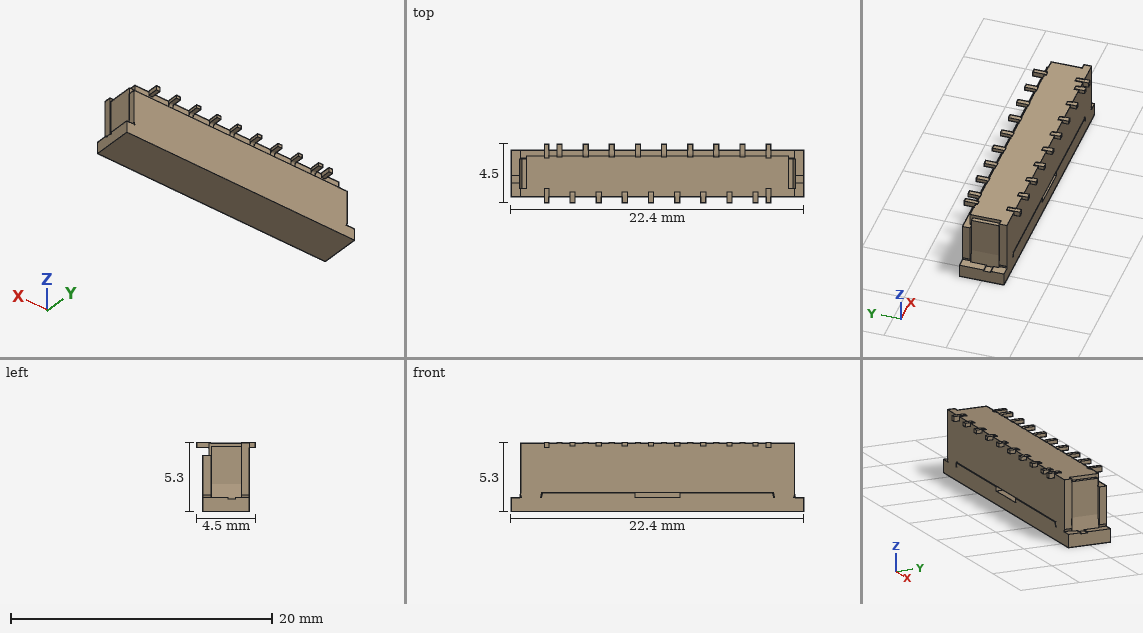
import cadquery as cq

BASE_LENGTH = 22.4
BASE_WIDTH = 3.58
BASE_TOP = 1.08

HOUSING_LENGTH = 20.97
HOUSING_TOP = 5.25
CORE_LENGTH = 20.07
CORE_REAR = 1.32
FRONT_WALL_INNER = -1.16
REAR_WALL_INNER = 1.16
REAR_WALL_TOP = 4.3
WALL_CHAMFER_HEIGHT = 0.2
WALL_CHAMFER_RUN = 0.07

PANEL_TOP = 4.97
PANEL_FLARE_TOP = 2.08
PANEL_REAR = 1.1
PANEL_REACH = 10.37
PANEL_FOOT_REACH = 10.55

GROOVE_FLOOR = 0.99
GROOVE_FRONT = -0.72
GROOVE_REAR = -0.15

GAP_HALF_LENGTH = 8.87
GAP_SLANT_RUN = 0.1
GAP_TOP = 1.48
GAP_HEIGHT = 0.07
GAP_SIDE_WIDTH = 0.07
GAP_DEPTH = 0.6
NOTCH_LENGTH = 3.45
NOTCH_DEPTH = 0.9

LEAD_TOP = 5.3
LEAD_REACH = 2.251

PITCH = 2.0
SIGNAL_COUNT = 8
SIGNAL_WIDTH = 0.4
SIGNAL_THICKNESS = 0.3
BEND_OUTER_RADIUS = 0.5
BEND_INNER_RADIUS = BEND_OUTER_RADIUS - SIGNAL_THICKNESS
FRONT_BEND_START = 1.65
REAR_BEND_START = 1.52

ANCHOR_X = 8.5
ANCHOR_WIDTH = 0.35
ANCHOR_THICKNESS = 0.4
ANCHOR_INNER = 1.16
ANCHOR_ROUND = 0.07

BASE_FRONT = -BASE_WIDTH / 2
BASE_REAR = BASE_WIDTH / 2


def block(x_length, y_start, y_end, z_start, z_end):
    """Box centred on X = 0 between the given Y and Z limits."""
    y_size = y_end - y_start
    z_size = z_end - z_start
    return (
        cq.Workplane("XY")
        .box(x_length, y_size, z_size)
        .translate((0, y_start + y_size / 2, z_start + z_size / 2))
    )


def extrude_along_y(points, y_start, y_end):
    """Closed XZ outline extruded from y_start to y_end."""
    return (
        cq.Workplane("XZ", origin=(0, y_end, 0))
        .polyline(points)
        .close()
        .extrude(y_end - y_start)
    )


def base_plate():
    plate = block(BASE_LENGTH, BASE_FRONT, BASE_REAR, 0, BASE_TOP)
    groove = block(BASE_LENGTH, GROOVE_FRONT, GROOVE_REAR, GROOVE_FLOOR, BASE_TOP)
    return plate.cut(groove)


def wall(y_start, y_end, top):
    """Long side wall whose ends are chamfered above the base."""
    end = HOUSING_LENGTH / 2
    foot = end - WALL_CHAMFER_RUN
    chamfer_top = BASE_TOP + WALL_CHAMFER_HEIGHT
    outline = [
        (-foot, BASE_TOP),
        (foot, BASE_TOP),
        (end, chamfer_top),
        (end, top),
        (-end, top),
        (-end, chamfer_top),
    ]
    return extrude_along_y(outline, y_start, y_end)


def end_panels():
    """Both flared end panels, joined through the core."""
    outline = [
        (-PANEL_FOOT_REACH, GROOVE_FLOOR),
        (PANEL_FOOT_REACH, GROOVE_FLOOR),
        (PANEL_FOOT_REACH, BASE_TOP),
        (PANEL_REACH, PANEL_FLARE_TOP),
        (PANEL_REACH, PANEL_TOP),
        (-PANEL_REACH, PANEL_TOP),
        (-PANEL_REACH, PANEL_FLARE_TOP),
        (-PANEL_FOOT_REACH, BASE_TOP),
    ]
    return extrude_along_y(outline, FRONT_WALL_INNER, PANEL_REAR)


def housing():
    core = block(CORE_LENGTH, FRONT_WALL_INNER, CORE_REAR, GROOVE_FLOOR, HOUSING_TOP)
    front_wall = wall(BASE_FRONT, FRONT_WALL_INNER, HOUSING_TOP)
    rear_wall = wall(REAR_WALL_INNER, BASE_REAR, REAR_WALL_TOP)
    return core.union(front_wall).union(rear_wall).union(end_panels())


def parting_gap():
    """Thin gap under the front wall, with slanted legs down to the base top."""
    outer_foot = GAP_HALF_LENGTH + GAP_SLANT_RUN
    inner_top = GAP_HALF_LENGTH - GAP_SIDE_WIDTH
    inner_foot = outer_foot - GAP_SIDE_WIDTH
    gap_bottom = GAP_TOP - GAP_HEIGHT
    outline = [
        (-outer_foot, BASE_TOP),
        (-GAP_HALF_LENGTH, GAP_TOP),
        (GAP_HALF_LENGTH, GAP_TOP),
        (outer_foot, BASE_TOP),
        (inner_foot, BASE_TOP),
        (inner_top, gap_bottom),
        (-inner_top, gap_bottom),
        (-inner_foot, BASE_TOP),
    ]
    return extrude_along_y(outline, BASE_FRONT, BASE_FRONT + GAP_DEPTH)


def notch():
    return block(NOTCH_LENGTH, BASE_FRONT, BASE_FRONT + NOTCH_DEPTH, BASE_TOP, GAP_TOP)


def signal_lead(x, side, bend_start):
    """Quarter-bend strip; side is -1 at the front and +1 at the rear."""
    bend_z = LEAD_TOP - BEND_OUTER_RADIUS
    diagonal = 0.5 ** 0.5
    outer_mid = BEND_OUTER_RADIUS * diagonal
    inner_mid = BEND_INNER_RADIUS * diagonal
    return (
        cq.Workplane("YZ", origin=(x - SIGNAL_WIDTH / 2, 0, 0))
        .moveTo(side * LEAD_REACH, LEAD_TOP)
        .lineTo(side * bend_start, LEAD_TOP)
        .threePointArc(
            (side * (bend_start - outer_mid), bend_z + outer_mid),
            (side * (bend_start - BEND_OUTER_RADIUS), bend_z),
        )
        .lineTo(side * (bend_start - BEND_INNER_RADIUS), bend_z)
        .threePointArc(
            (side * (bend_start - inner_mid), bend_z + inner_mid),
            (side * bend_start, LEAD_TOP - SIGNAL_THICKNESS),
        )
        .lineTo(side * LEAD_REACH, LEAD_TOP - SIGNAL_THICKNESS)
        .close()
        .extrude(SIGNAL_WIDTH)
    )


def anchor_lead(x, side):
    """Flat bar with a rounded inner top edge."""
    bar = block(ANCHOR_WIDTH, ANCHOR_INNER, LEAD_REACH, LEAD_TOP - ANCHOR_THICKNESS, LEAD_TOP)
    bar = bar.faces("<Y").edges(">Z").fillet(ANCHOR_ROUND)
    if side < 0:
        bar = bar.mirror("XZ")
    return bar.translate((x, 0, 0))


result = base_plate().union(housing()).cut(parting_gap()).cut(notch())

row_middle = PITCH / 4
for index in range(SIGNAL_COUNT):
    offset = (index - (SIGNAL_COUNT - 1) / 2) * PITCH
    result = result.union(signal_lead(offset + row_middle, -1, FRONT_BEND_START))
    result = result.union(signal_lead(offset - row_middle, 1, REAR_BEND_START))

for side in (-1, 1):
    for anchor_x in (-ANCHOR_X, ANCHOR_X):
        result = result.union(anchor_lead(anchor_x, side))